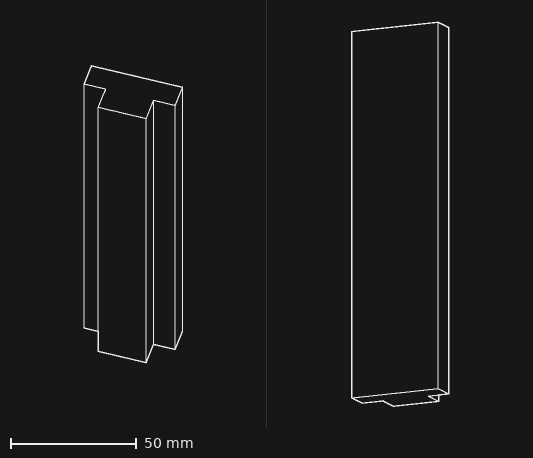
import cadquery as cq

length = 150.0
flange_width = 38.0
stem_width = 20.0
total_depth = 20.0
flange_depth = total_depth / 2

flange = (
    cq.Workplane("XY")
    .rect(flange_width, flange_depth)
    .extrude(length)
    .translate((0, (total_depth - flange_depth) / 2, 0))
)

stem = cq.Workplane("XY").rect(stem_width, total_depth).extrude(length)

result = flange.union(stem).clean()